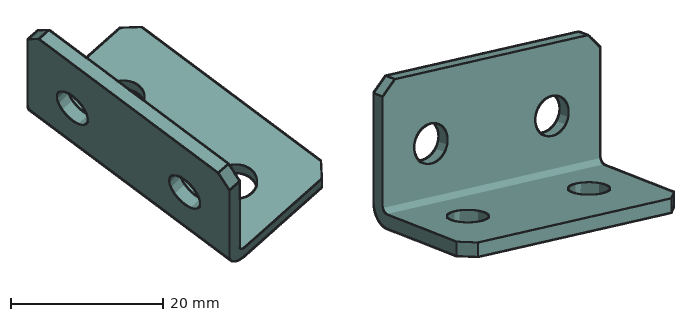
import cadquery as cq

length = 36.0
leg = 20.0
thickness = 2.0
inner_radius = 1.0
outer_radius = inner_radius + thickness
corner_chamfer = 2.0
hole_diameter = 5.5
hole_spacing = 20.0
hole_height = leg / 2


def bent_strip():
    """L section in the YZ plane, outer corner at the origin, centred along X."""
    section = (
        cq.Workplane("YZ")
        .rect(leg, leg, centered=False)
        .extrude(length / 2, both=True)
        .edges("|X and <Y and <Z")
        .fillet(outer_radius)
    )
    inside = (
        cq.Workplane("YZ")
        .center(thickness, thickness)
        .rect(leg, leg, centered=False)
        .extrude(length / 2, both=True)
        .edges("|X and <Y and <Z")
        .fillet(inner_radius)
    )
    return section.cut(inside)


def chamfer_free_corners(body):
    """Bevel the two outer corners at the free end of each leg."""
    body = body.faces(">Z").edges("|Y").chamfer(corner_chamfer)
    return body.faces(">Y").edges("|Z").chamfer(corner_chamfer)


def hole_pair(plane, height):
    """Two round cutters, long enough to pass through one leg only."""
    return (
        cq.Workplane(plane)
        .pushPoints([(side * hole_spacing / 2, height) for side in (-1, 1)])
        .circle(hole_diameter / 2)
        .extrude(thickness)
    )


bracket = chamfer_free_corners(bent_strip())

upright_holes = hole_pair("XZ", hole_height).translate((0, thickness, 0))
base_holes = hole_pair("XY", hole_height)

result = bracket.cut(upright_holes).cut(base_holes)